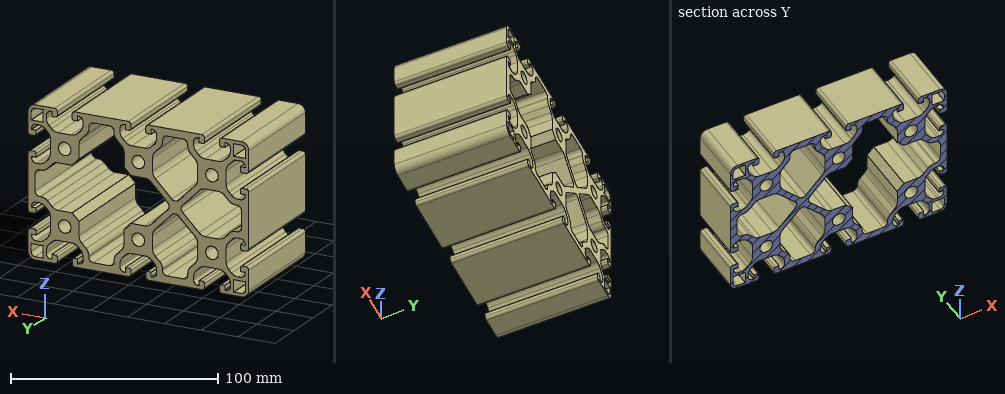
import cadquery as cq
import math

MODULE = 40.0
COLUMNS = 3
ROWS = 2
WIDTH = COLUMNS * MODULE
HEIGHT = ROWS * MODULE
LENGTH = 60.0
CORNER_RADIUS = 4.0
BEND_RADIUS = 5.0

SLOT_HALF_OPENING = 4.0
SLOT_HALF_WIDTH = 10.0
LIP_HEIGHT = 4.5
LIP_WIDTH = 3.0
LIP_RADIUS = 1.5
LIP_INNER_RADIUS = 1.0
UNDERCUT_DEPTH = 2.0
UNDERCUT_RADIUS = 2.5
SLOT_CHAMFER = 4.4

CORE_HALF = 7.75
CORE_CHAMFER = 3.75
BORE_DIAMETER = 6.8
SLOT_DEPTH = MODULE / 2 - CORE_HALF

OUTER_WALL = 4.0
NECK_HALF = 6.85
NECK_CORNER_RADIUS = 2.5
SHOULDER_DEPTH = 14.6
WEB_THICKNESS = 3.2
WEB_TIP_RADIUS = 2.5
CAVITY_HALF = MODULE / 2 - CORE_HALF
NECK_DEPTH = SHOULDER_DEPTH - (CAVITY_HALF - NECK_HALF)
WEB_OFFSET = WEB_THICKNESS / math.sqrt(2)

HOLLOW_WALL = 1.8
HOLLOW_SIZE = 6.4
HOLLOW_RADIUS = CORNER_RADIUS - HOLLOW_WALL

OVERCUT = 1.0

COLUMN_CENTERS = [(i - (COLUMNS - 1) / 2) * MODULE for i in range(COLUMNS)]
ROW_CENTERS = [(i - (ROWS - 1) / 2) * MODULE for i in range(ROWS)]


def extrude_outline(corners):
    """Prism along Y from (x, z, radius) corners; a zero radius stays sharp."""
    points = [cq.Vector(x, z, 0) for x, z, _ in corners]
    path = cq.Workplane("XZ", origin=(0, LENGTH / 2, 0))
    started = False
    for i, corner in enumerate(points):
        radius = corners[i][2]
        back = (points[i - 1] - corner).normalized()
        ahead = (points[(i + 1) % len(points)] - corner).normalized()
        half_angle = back.getAngle(ahead) / 2
        tangent_length = radius / math.tan(half_angle)
        start = corner + back * tangent_length
        path = path.lineTo(start.x, start.y) if started else path.moveTo(start.x, start.y)
        started = True
        if radius > 0:
            bisector = (back + ahead).normalized()
            middle = corner + bisector * (radius / math.sin(half_angle) - radius)
            end = corner + ahead * tangent_length
            path = path.threePointArc((middle.x, middle.y), (end.x, end.y))
    return path.close().extrude(LENGTH)


def mirrored(half, tip=()):
    """Complete a half outline (across, depth, radius) by mirroring it, with an optional tip between."""
    return half + list(tip) + [(-u, d, r) for u, d, r in reversed(half)]


def place_on_face(outline, normal, offset):
    """Map (across, depth, radius) corners onto the outer face with the given outward normal."""
    nx, nz = normal
    base_x = nx * WIDTH / 2 + abs(nz) * offset
    base_z = nz * HEIGHT / 2 + abs(nx) * offset
    return [(base_x - nx * d + nz * u, base_z - nz * d - nx * u, r) for u, d, r in outline]


def make_body():
    return cq.Workplane("XY").box(WIDTH, LENGTH, HEIGHT).edges("|Y").fillet(CORNER_RADIUS)


def make_slot(normal, offset):
    lip_back = SLOT_HALF_OPENING + LIP_WIDTH
    half = [
        (SLOT_HALF_OPENING + 2 * LIP_RADIUS, -OVERCUT, 0),
        (SLOT_HALF_OPENING + 2 * LIP_RADIUS, 0, 0),
        (SLOT_HALF_OPENING, 0, LIP_RADIUS),
        (SLOT_HALF_OPENING, LIP_HEIGHT, LIP_INNER_RADIUS),
        (lip_back, LIP_HEIGHT, 0),
        (lip_back, UNDERCUT_DEPTH, 0),
        (SLOT_HALF_WIDTH, UNDERCUT_DEPTH, UNDERCUT_RADIUS),
        (SLOT_HALF_WIDTH, SLOT_DEPTH - SLOT_CHAMFER, BEND_RADIUS),
        (SLOT_HALF_WIDTH - SLOT_CHAMFER, SLOT_DEPTH, BEND_RADIUS),
    ]
    return extrude_outline(place_on_face(mirrored(half), normal, offset))


def make_web_cavity(normal, offset):
    """Cavity between two cores, closed towards the inside by two crossing diagonal webs."""
    tip_depth = MODULE - WEB_OFFSET
    half = [
        (NECK_HALF, OUTER_WALL, NECK_CORNER_RADIUS),
        (NECK_HALF, NECK_DEPTH, BEND_RADIUS),
        (CAVITY_HALF, SHOULDER_DEPTH, BEND_RADIUS),
        (CAVITY_HALF, tip_depth - CAVITY_HALF, BEND_RADIUS),
    ]
    tip = [(0, tip_depth, WEB_TIP_RADIUS)]
    return extrude_outline(place_on_face(mirrored(half, tip), normal, offset))


def make_open_cavity():
    """Large cavity on the +X side, reaching the top, bottom and side walls."""
    middle = MODULE / 2
    core_face = ROW_CENTERS[1] - CORE_HALF
    left_face = middle - CAVITY_HALF
    right_face = middle + CAVITY_HALF
    tip_x = -MODULE / 2 + WEB_OFFSET
    upper = [
        (tip_x + core_face, core_face, BEND_RADIUS),
        (left_face - CORE_CHAMFER, core_face, 0),
        (left_face, core_face + CORE_CHAMFER, 0),
        (left_face, HEIGHT / 2 - SHOULDER_DEPTH, BEND_RADIUS),
        (middle - NECK_HALF, HEIGHT / 2 - NECK_DEPTH, BEND_RADIUS),
        (middle - NECK_HALF, HEIGHT / 2 - OUTER_WALL, NECK_CORNER_RADIUS),
        (middle + NECK_HALF, HEIGHT / 2 - OUTER_WALL, NECK_CORNER_RADIUS),
        (middle + NECK_HALF, HEIGHT / 2 - NECK_DEPTH, BEND_RADIUS),
        (right_face, HEIGHT / 2 - SHOULDER_DEPTH, BEND_RADIUS),
        (right_face, core_face + CORE_CHAMFER, 0),
        (right_face + CORE_CHAMFER, core_face, 0),
        (WIDTH / 2 - SHOULDER_DEPTH, core_face, BEND_RADIUS),
        (WIDTH / 2 - NECK_DEPTH, NECK_HALF, BEND_RADIUS),
        (WIDTH / 2 - OUTER_WALL, NECK_HALF, NECK_CORNER_RADIUS),
    ]
    lower = [(x, -z, r) for x, z, r in reversed(upper)]
    return extrude_outline([(tip_x, 0, WEB_TIP_RADIUS)] + upper + lower)


def make_corner_hollow(side_x, side_z):
    outer_x = side_x * (WIDTH / 2 - HOLLOW_WALL)
    outer_z = side_z * (HEIGHT / 2 - HOLLOW_WALL)
    inner_x = outer_x - side_x * HOLLOW_SIZE
    inner_z = outer_z - side_z * HOLLOW_SIZE
    corners = [
        (outer_x, outer_z, HOLLOW_RADIUS),
        (inner_x, outer_z, 0),
        (inner_x, inner_z, 0),
        (outer_x, inner_z, 0),
    ]
    return extrude_outline(corners)


def make_bores():
    centers = [(x, z) for x in COLUMN_CENTERS for z in ROW_CENTERS]
    sketch = cq.Workplane("XZ", origin=(0, LENGTH / 2, 0)).pushPoints(centers)
    return sketch.circle(BORE_DIAMETER / 2).extrude(LENGTH)


result = make_body().cut(make_bores()).cut(make_open_cavity())

for side in (-1, 1):
    for column_x in COLUMN_CENTERS:
        result = result.cut(make_slot((0, side), column_x))
    for row_z in ROW_CENTERS:
        result = result.cut(make_slot((side, 0), row_z))
    for other_side in (-1, 1):
        result = result.cut(make_corner_hollow(side, other_side))
    result = result.cut(make_web_cavity((0, side), -MODULE / 2))

result = result.cut(make_web_cavity((-1, 0), 0))